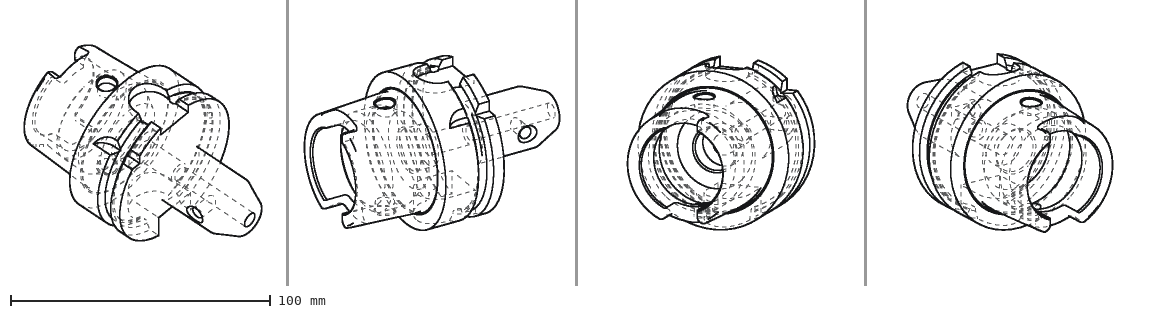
import cadquery as cq
import math


CLEARANCE = 1.0
TOLERANCE = 0.01

SHANK_END_X = -32.0
FLANGE_FRONT_X = 26.0
NOSE_END_X = 65.0

TAPER_SLOPE = 0.05
TAPER_TOP_X = -2.3
TAPER_TOP_R = 24.2
TAPER_END_R = TAPER_TOP_R - TAPER_SLOPE * (TAPER_TOP_X - SHANK_END_X)
SHANK_EDGE_FILLET = 1.0

NECK_R = 48.02 / 2
NECK_START_X = -1.45
UNDERCUT_START_X = -0.55
UNDERCUT_DEPTH = 0.2
UNDERCUT_FILLET = 0.7
UNDERCUT_RIM_R = 25.3

FLANGE_R = 63.0 / 2
GROOVE_ROOT_R = 27.5
GROOVE_CENTER_X = 17.9
GROOVE_WIDTH = 6.7
GROOVE_HALF_ANGLE = 30.0
GROOVE_ROOT_WIDTH = 3.75
GROOVE_FILLET = 1.0

NOSE_R = 24.5 / 2
NOSE_ROOT_FILLET = 3.0
NOSE_CONE_START_X = 54.3
NOSE_TIP_R = 7.5
NOSE_EDGE_FILLET = 2.0

DRIVE_SLOT_WIDTH = 12.54
DRIVE_SLOT_DEPTH_TOP = 6.0
DRIVE_SLOT_DEPTH_BOTTOM = 10.0
DRIVE_SLOT_FLARE_R = 3.0
DRIVE_SLOT_FLARE_START = 17.9
DRIVE_SLOT_FLOOR_FILLET = 1.5

KEYWAY_END_X = 5.0
TOP_KEYWAY_WIDTH = 16.0
TOP_KEYWAY_FLOOR = 26.5
BOTTOM_KEYWAY_WIDTH = 18.0
BOTTOM_KEYWAY_FLOOR = 20.0
NOTCH_OFFSET = 20.0
NOTCH_WIDTH = 16.0

MOUTH_R = 34.0 / 2
MOUTH_CHAMFER = 0.5
MOUTH_CHAMFER_ANGLE = 30.0
MOUTH_LENGTH = 13.2
CAVITY_R = 40.0 / 2
CAVITY_START_ANGLE = 60.0
CAVITY_END_ANGLE = 30.0
CAVITY_FLOOR_X = 1.6
CAVITY_FLOOR_R = 15.6
TUBE_BORE_R = 17.0 / 2
TUBE_CHAMFER_R = 18.5 / 2
TUBE_BORE_END_X = 10.0
SCREW_BORE_R = 8.4 / 2
SCREW_BORE_END_X = 28.0
TOOL_BORE_R = 6.0 / 2
DRILL_HALF_ANGLE = 59.0

ACCESS_HOLE_X = -9.0
ACCESS_HOLE_R = 7.5 / 2
ACCESS_CHAMFER = 0.45
SIDE_SCREW_X = 47.5
SIDE_SCREW_R = 4.92 / 2
SIDE_SCREW_SINK_R = 4.1


def tan_deg(angle):
    return math.tan(math.radians(angle))


def revolve_about_x(profile):
    """Full turn about the X axis of a closed outline drawn as (x, radius)."""
    return profile.close().revolve(360, (0, 0, 0), (1, 0, 0))


def rim_edge(body, x, radius):
    """The circular edge of radius `radius` centred on the axis at `x`."""

    def matches(edge):
        return abs(edge.Center().x - x) < TOLERANCE and abs(edge.radius() - radius) < TOLERANCE

    return body.edges("%CIRCLE").filter(matches)


def turned_body():
    body = revolve_about_x(
        cq.Workplane("XY")
        .moveTo(SHANK_END_X, 0)
        .lineTo(SHANK_END_X, TAPER_END_R)
        .lineTo(TAPER_TOP_X, TAPER_TOP_R)
        .lineTo(NECK_START_X, NECK_R)
        .lineTo(UNDERCUT_START_X, NECK_R)
        .radiusArc((UNDERCUT_DEPTH, NECK_R + UNDERCUT_FILLET), -(UNDERCUT_FILLET + UNDERCUT_DEPTH))
        .lineTo(0, UNDERCUT_RIM_R)
        .lineTo(0, FLANGE_R)
        .lineTo(FLANGE_FRONT_X, FLANGE_R)
        .lineTo(FLANGE_FRONT_X, NOSE_R)
        .lineTo(NOSE_CONE_START_X, NOSE_R)
        .lineTo(NOSE_END_X, NOSE_TIP_R)
        .lineTo(NOSE_END_X, 0)
    )
    body = rim_edge(body, FLANGE_FRONT_X, NOSE_R).fillet(NOSE_ROOT_FILLET)
    body = rim_edge(body, NOSE_CONE_START_X, NOSE_R).fillet(NOSE_EDGE_FILLET)
    body = rim_edge(body, NOSE_END_X, NOSE_TIP_R).fillet(NOSE_EDGE_FILLET)
    return rim_edge(body, SHANK_END_X, TAPER_END_R).fillet(SHANK_EDGE_FILLET)


def gripper_groove():
    """Ring cutter: sloped flanks above a straight-sided root with rounded corners."""
    half_mouth = GROOVE_WIDTH / 2
    half_root = GROOVE_ROOT_WIDTH / 2
    step_r = FLANGE_R - (half_mouth - half_root) / tan_deg(GROOVE_HALF_ANGLE)
    outer_r = FLANGE_R + CLEARANCE
    half_outer = half_mouth + (outer_r - FLANGE_R) * tan_deg(GROOVE_HALF_ANGLE)
    ring = revolve_about_x(
        cq.Workplane("XY")
        .moveTo(GROOVE_CENTER_X - half_outer, outer_r)
        .lineTo(GROOVE_CENTER_X - half_root, step_r)
        .lineTo(GROOVE_CENTER_X - half_root, GROOVE_ROOT_R)
        .lineTo(GROOVE_CENTER_X + half_root, GROOVE_ROOT_R)
        .lineTo(GROOVE_CENTER_X + half_root, step_r)
        .lineTo(GROOVE_CENTER_X + half_outer, outer_r)
    )
    for side in (-1, 1):
        ring = rim_edge(ring, GROOVE_CENTER_X + side * half_root, GROOVE_ROOT_R).fillet(GROOVE_FILLET)
    return ring


def drive_slot(depth):
    """Cutter for one slot toward +Z: walls flare out near the rim, the mouth is rounded."""
    half = DRIVE_SLOT_WIDTH / 2
    rim_half = half + DRIVE_SLOT_FLARE_R
    rim_z = DRIVE_SLOT_FLARE_START + DRIVE_SLOT_FLARE_R
    outer_half = 2 * half
    outer_z = TAPER_TOP_R + CLEARANCE
    plane = cq.Workplane("YZ", origin=(SHANK_END_X, 0, 0))

    def wall_edges(x):
        """Selects the wall and flare edges lying in the plane at `x`."""
        limit_y = outer_half - TOLERANCE
        limit_z = rim_z + TOLERANCE
        return cq.selectors.BoxSelector(
            (x - TOLERANCE, -limit_y, TOLERANCE), (x + TOLERANCE, limit_y, limit_z)
        )

    slot = (
        plane.moveTo(-half, 0)
        .lineTo(-half, DRIVE_SLOT_FLARE_START)
        .radiusArc((-rim_half, rim_z), -DRIVE_SLOT_FLARE_R)
        .lineTo(-outer_half, rim_z)
        .lineTo(-outer_half, outer_z)
        .lineTo(outer_half, outer_z)
        .lineTo(outer_half, rim_z)
        .lineTo(rim_half, rim_z)
        .radiusArc((half, DRIVE_SLOT_FLARE_START), -DRIVE_SLOT_FLARE_R)
        .lineTo(half, 0)
        .close()
        .extrude(depth)
    )
    slot = slot.edges(wall_edges(SHANK_END_X + depth)).fillet(DRIVE_SLOT_FLOOR_FILLET)

    block = plane.rect(outer_half, outer_z, centered=False).extrude(depth)
    block = block.union(block.mirror("XZ"))
    lands = block.cut(slot)
    lands = lands.edges(wall_edges(SHANK_END_X)).fillet(SHANK_EDGE_FILLET)
    return block.cut(lands)


def keyway(width, floor, center_y=0.0):
    """Round-ended keyway cutter above z = floor, open at the front of the flange."""
    radius = width / 2
    center_x = KEYWAY_END_X + radius
    length = FLANGE_FRONT_X - center_x
    height = FLANGE_R - floor + CLEARANCE
    plane = cq.Workplane("XY", origin=(center_x, center_y, floor))
    round_end = plane.circle(radius).extrude(height)
    return plane.box(length, width, height, centered=(False, True, False)).union(round_end)


def clamping_cavity():
    mouth_chamfer_length = MOUTH_CHAMFER / tan_deg(MOUTH_CHAMFER_ANGLE)
    undercut_length = (CAVITY_R - MOUTH_R) / tan_deg(CAVITY_START_ANGLE)
    mouth_end_x = SHANK_END_X + MOUTH_LENGTH
    tip_length = (SCREW_BORE_R - TOOL_BORE_R) / tan_deg(DRILL_HALF_ANGLE)
    tube_chamfer = TUBE_CHAMFER_R - TUBE_BORE_R
    end_cone_length = (CAVITY_R - CAVITY_FLOOR_R) / tan_deg(CAVITY_END_ANGLE)
    return revolve_about_x(
        cq.Workplane("XY")
        .moveTo(SHANK_END_X, 0)
        .lineTo(SHANK_END_X, MOUTH_R + MOUTH_CHAMFER)
        .lineTo(SHANK_END_X + mouth_chamfer_length, MOUTH_R)
        .lineTo(mouth_end_x, MOUTH_R)
        .lineTo(mouth_end_x + undercut_length, CAVITY_R)
        .lineTo(CAVITY_FLOOR_X - end_cone_length, CAVITY_R)
        .lineTo(CAVITY_FLOOR_X, CAVITY_FLOOR_R)
        .lineTo(CAVITY_FLOOR_X, TUBE_CHAMFER_R)
        .lineTo(CAVITY_FLOOR_X + tube_chamfer, TUBE_BORE_R)
        .lineTo(TUBE_BORE_END_X, TUBE_BORE_R)
        .lineTo(TUBE_BORE_END_X, SCREW_BORE_R)
        .lineTo(SCREW_BORE_END_X, SCREW_BORE_R)
        .lineTo(SCREW_BORE_END_X + tip_length, TOOL_BORE_R)
        .lineTo(NOSE_END_X, TOOL_BORE_R)
        .lineTo(NOSE_END_X, 0)
    )


def side_screw_hole():
    """Cutter for the screw hole on the -Y side of the nose, with a 90 degree countersink."""
    sink_depth = SIDE_SCREW_SINK_R - SIDE_SCREW_R
    return (
        cq.Workplane("XY", origin=(SIDE_SCREW_X, 0, 0))
        .lineTo(SIDE_SCREW_R, 0)
        .lineTo(SIDE_SCREW_R, sink_depth - NOSE_R)
        .lineTo(SIDE_SCREW_SINK_R + CLEARANCE, -NOSE_R - CLEARANCE)
        .lineTo(0, -NOSE_R - CLEARANCE)
        .close()
        .revolve(360, (0, 0, 0), (0, 1, 0))
    )


def cut_access_holes(body):
    """Cross hole through both shank walls, with an even chamfer around each outer rim."""
    surface_r = TAPER_TOP_R - TAPER_SLOPE * (TAPER_TOP_X - ACCESS_HOLE_X)
    hole = cq.Workplane("XY").circle(ACCESS_HOLE_R).extrude(FLANGE_R, both=True)
    body = body.cut(hole.translate((ACCESS_HOLE_X, 0, 0)))
    for side in (-1, 1):
        rim = cq.selectors.NearestToPointSelector((ACCESS_HOLE_X, 0, side * surface_r))
        body = body.edges(rim).chamfer(ACCESS_CHAMFER)
    return body


def half_turn(cutter):
    return cutter.rotate((0, 0, 0), (1, 0, 0), 180)


def build():
    body = turned_body().cut(gripper_groove())

    body = body.cut(drive_slot(DRIVE_SLOT_DEPTH_TOP))
    body = body.cut(half_turn(drive_slot(DRIVE_SLOT_DEPTH_BOTTOM)))

    body = body.cut(keyway(TOP_KEYWAY_WIDTH, TOP_KEYWAY_FLOOR))
    body = body.cut(half_turn(keyway(BOTTOM_KEYWAY_WIDTH, BOTTOM_KEYWAY_FLOOR)))
    body = body.cut(keyway(NOTCH_WIDTH, NOTCH_OFFSET, -NOTCH_OFFSET - NOTCH_WIDTH / 2))

    body = cut_access_holes(body)
    body = body.cut(clamping_cavity())

    return body.cut(side_screw_hole()).solids()


result = build()